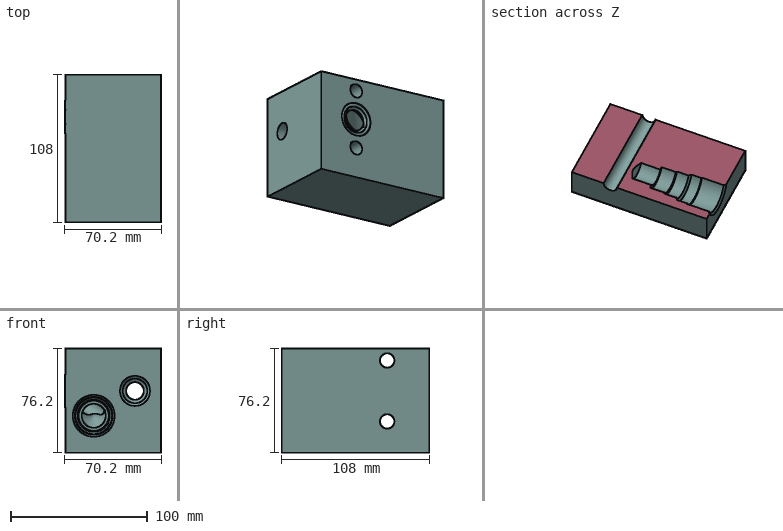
import cadquery as cq
import math

BLOCK_X = 69.8
BLOCK_Y = 108.0
BLOCK_Z = 76.2

PORT_Y = 77.1
PORT_Z = 45.1
BOLT_OFFSET = 22.2
BOLT_DIAMETER = 10.4

RING_OUTER_DIAMETER = 25.4
RING_OUTER_RADIUS = RING_OUTER_DIAMETER / 2
RING_SECTION = 2.6
RING_PROUD = 0.4
RECESS_DEPTH = RING_SECTION - RING_PROUD
LIP_OUTER_RADIUS = 10.0
LIP_INNER_RADIUS = 7.9
LIP_HEIGHT = 1.3
LIP_ROUND_RADIUS = 1.3
LIP_SIDE_ANGLE = 45.0

THROUGH_X = 50.7
THROUGH_Z = PORT_Z
THROUGH_MOUTH_RADIUS = 11.0
THROUGH_WIDE_RADIUS = 9.0
THROUGH_NARROW_RADIUS = 6.4
THROUGH_WIDE_DEPTH = 21.6

CAVITY_X = 20.6
CAVITY_Z = 27.0
CAVITY_MOUTH_RADIUS = 15.3
CAVITY_THREAD_RADIUS = 13.8
CAVITY_THREAD_DEPTH = 18.8
CAVITY_SEAT_RADIUS = 13.4
CAVITY_SEAT_DEPTH = 27.0
CAVITY_NOSE_RADIUS = 11.8
CAVITY_NOSE_DEPTH = 37.8
CAVITY_FLOOR_RADIUS = 11.0
CAVITY_FLOOR_DEPTH = 49.7
CAVITY_BORE_RADIUS = 8.7
CAVITY_TIP_DEPTH = 70.2

DRILL_HALF_ANGLE = math.radians(59)

PASSAGE_DIAMETER = 12.6
PASSAGE_START_X = 1.5
PASSAGE_END_X = 22.7


def cone_height(large_radius, small_radius):
    """Axial length of a drill-point cone between two radii."""
    return (large_radius - small_radius) / math.tan(DRILL_HALF_ANGLE)


def revolve_along_y(profile, x, z):
    """Solid of revolution about a line parallel to Y, from (radius, depth) points."""
    return (
        cq.Workplane("XY")
        .polyline(profile)
        .close()
        .revolve(360, (0, 0, 0), (0, 1, 0))
        .translate((x, 0, z))
    )


def through_hole():
    """Hole through the whole block, wide and chamfered at its -Y mouth."""
    chamfer = THROUGH_MOUTH_RADIUS - THROUGH_WIDE_RADIUS
    cone_end = THROUGH_WIDE_DEPTH + cone_height(THROUGH_WIDE_RADIUS, THROUGH_NARROW_RADIUS)
    profile = [
        (0, 0),
        (THROUGH_MOUTH_RADIUS, 0),
        (THROUGH_WIDE_RADIUS, chamfer),
        (THROUGH_WIDE_RADIUS, THROUGH_WIDE_DEPTH),
        (THROUGH_NARROW_RADIUS, cone_end),
        (THROUGH_NARROW_RADIUS, BLOCK_Y),
        (0, BLOCK_Y),
    ]
    return revolve_along_y(profile, THROUGH_X, THROUGH_Z)


def cavity():
    """Blind hole that narrows in 45 degree steps to a flat floor, with a drilled bore beyond it."""
    chamfer = CAVITY_MOUTH_RADIUS - CAVITY_THREAD_RADIUS
    thread_step = CAVITY_THREAD_RADIUS - CAVITY_SEAT_RADIUS
    seat_step = CAVITY_SEAT_RADIUS - CAVITY_NOSE_RADIUS
    nose_step = CAVITY_NOSE_RADIUS - CAVITY_FLOOR_RADIUS
    bore_end = CAVITY_TIP_DEPTH - cone_height(CAVITY_BORE_RADIUS, 0)
    profile = [
        (0, 0),
        (CAVITY_MOUTH_RADIUS, 0),
        (CAVITY_THREAD_RADIUS, chamfer),
        (CAVITY_THREAD_RADIUS, CAVITY_THREAD_DEPTH),
        (CAVITY_SEAT_RADIUS, CAVITY_THREAD_DEPTH + thread_step),
        (CAVITY_SEAT_RADIUS, CAVITY_SEAT_DEPTH),
        (CAVITY_NOSE_RADIUS, CAVITY_SEAT_DEPTH + seat_step),
        (CAVITY_NOSE_RADIUS, CAVITY_NOSE_DEPTH),
        (CAVITY_FLOOR_RADIUS, CAVITY_NOSE_DEPTH + nose_step),
        (CAVITY_FLOOR_RADIUS, CAVITY_FLOOR_DEPTH),
        (CAVITY_BORE_RADIUS, CAVITY_FLOOR_DEPTH),
        (CAVITY_BORE_RADIUS, bore_end),
        (0, CAVITY_TIP_DEPTH),
    ]
    return revolve_along_y(profile, CAVITY_X, CAVITY_Z)


def seal_recess():
    """Counterbore around the port, with a lip left standing inside the ring.

    The lip has a straight outer wall, a flat top and a conical inner side,
    and its top rounds over into the inner side.
    """
    lip_top = RECESS_DEPTH - LIP_HEIGHT
    tangent_length = LIP_ROUND_RADIUS * math.tan(math.radians(LIP_SIDE_ANGLE / 2))
    round_center_radius = LIP_INNER_RADIUS + LIP_HEIGHT + tangent_length
    round_center_depth = lip_top + LIP_ROUND_RADIUS

    def round_point(degrees):
        angle = math.radians(degrees)
        return (
            round_center_depth - LIP_ROUND_RADIUS * math.cos(angle),
            round_center_radius - LIP_ROUND_RADIUS * math.sin(angle),
        )

    return (
        cq.Workplane("XY")
        .lineTo(0, RING_OUTER_RADIUS)
        .lineTo(RECESS_DEPTH, RING_OUTER_RADIUS)
        .lineTo(RECESS_DEPTH, LIP_OUTER_RADIUS)
        .lineTo(lip_top, LIP_OUTER_RADIUS)
        .lineTo(*round_point(0))
        .threePointArc(round_point(LIP_SIDE_ANGLE / 2), round_point(LIP_SIDE_ANGLE))
        .lineTo(RECESS_DEPTH, LIP_INNER_RADIUS)
        .lineTo(RECESS_DEPTH, 0)
        .close()
        .revolve(360, (0, 0, 0), (1, 0, 0))
        .translate((0, PORT_Y, PORT_Z))
    )


def bolt_holes():
    """Pair of plain holes through the block along X."""
    return (
        cq.Workplane("YZ")
        .pushPoints([(PORT_Y, PORT_Z - BOLT_OFFSET), (PORT_Y, PORT_Z + BOLT_OFFSET)])
        .circle(BOLT_DIAMETER / 2)
        .extrude(BLOCK_X)
    )


def slanted_passage():
    """Round-ended hole behind the recess floor, sloping equally toward -Y and -Z."""
    radius = PASSAGE_DIAMETER / 2
    run_x = PASSAGE_END_X - PASSAGE_START_X
    drop = run_x / math.sqrt(2)
    start = cq.Vector(PASSAGE_START_X, PORT_Y, PORT_Z)
    run = cq.Vector(run_x, -drop, -drop)
    direction = run.normalized()

    lead = PASSAGE_DIAMETER
    bore = cq.Solid.makeCylinder(radius, run.Length + lead, start - direction * lead, direction)
    round_end = cq.Workplane("XY").sphere(radius).translate(start + run)
    behind_floor = (
        cq.Workplane("XY")
        .box(BLOCK_X, BLOCK_Y, BLOCK_Z, centered=False)
        .translate((RECESS_DEPTH, 0, 0))
    )
    return cq.Workplane(bore).union(round_end).intersect(behind_floor)


def make_block():
    block = cq.Workplane("XY").box(BLOCK_X, BLOCK_Y, BLOCK_Z, centered=False)
    for cutter in (through_hole(), cavity(), seal_recess(), bolt_holes(), slanted_passage()):
        block = block.cut(cutter)
    return block


def make_seal_ring():
    """Round-section ring resting on the recess floor and standing proud of the -X face."""
    section_radius = RING_SECTION / 2
    return cq.Workplane(
        cq.Solid.makeTorus(
            RING_OUTER_RADIUS - section_radius,
            section_radius,
            cq.Vector(section_radius - RING_PROUD, PORT_Y, PORT_Z),
            cq.Vector(1, 0, 0),
        )
    )


block = make_block()
seal_ring = make_seal_ring()

result = cq.Compound.makeCompound([block.val(), seal_ring.val()])